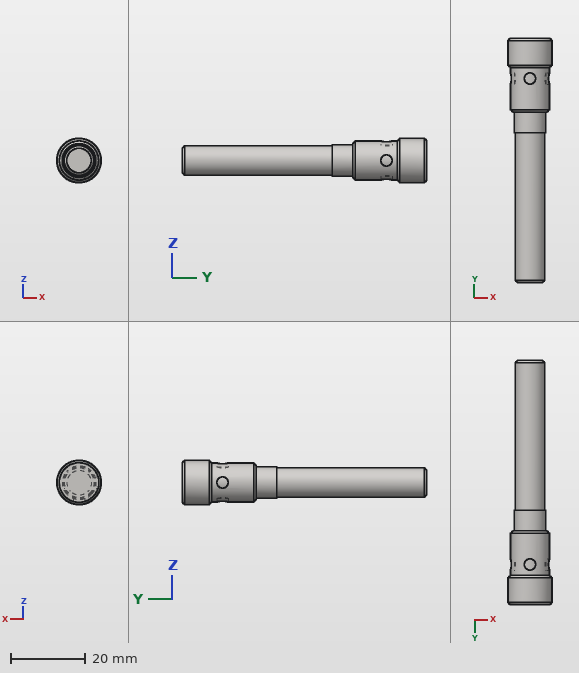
import cadquery as cq

total_length = 66.0

head_diameter = 12.0
sleeve_diameter = 10.55
neck_diameter = 8.5
shaft_diameter = 8.0
tip_diameter = 6.6
cross_hole_diameter = 3.05

head_end = 7.25
sleeve_end = 20.0
neck_end = 25.55
cross_hole_position = 10.9

head_chamfer = 0.65
sleeve_chamfer = 0.7
head_step = (head_diameter - sleeve_diameter) / 2
tip_chamfer = (shaft_diameter - tip_diameter) / 2

head_face = total_length / 2
hole_count = 4


def make_body():
    """Revolve the stepped half-profile, given as (radius, distance from head end)."""
    stations = [
        (0, 0),
        (head_diameter / 2 - head_chamfer, 0),
        (head_diameter / 2, head_chamfer),
        (head_diameter / 2, head_end),
        (sleeve_diameter / 2, head_end + head_step),
        (sleeve_diameter / 2, sleeve_end - sleeve_chamfer),
        (sleeve_diameter / 2 - sleeve_chamfer, sleeve_end),
        (neck_diameter / 2, sleeve_end),
        (neck_diameter / 2, neck_end),
        (shaft_diameter / 2, neck_end),
        (shaft_diameter / 2, total_length - tip_chamfer),
        (tip_diameter / 2, total_length),
        (0, total_length),
    ]
    profile = [(radius, head_face - distance) for radius, distance in stations]
    return cq.Workplane("XY").polyline(profile).close().revolve(360, (0, 0), (0, 1))


def make_cross_holes():
    """Four radial holes through the sleeve wall, stopping on the round neck inside."""
    hole_y = head_face - cross_hole_position
    drill = (
        cq.Workplane("XY")
        .center(0, hole_y)
        .circle(cross_hole_diameter / 2)
        .extrude(head_diameter / 2)
    )
    drills = cq.Workplane("XY")
    for index in range(hole_count):
        angle = index * 360 / hole_count
        drills = drills.union(drill.rotate((0, 0, 0), (0, 1, 0), angle))
    core = (
        cq.Workplane("XZ", origin=(0, head_face, 0))
        .circle(neck_diameter / 2)
        .extrude(total_length)
    )
    return drills.cut(core)


result = make_body().cut(make_cross_holes())